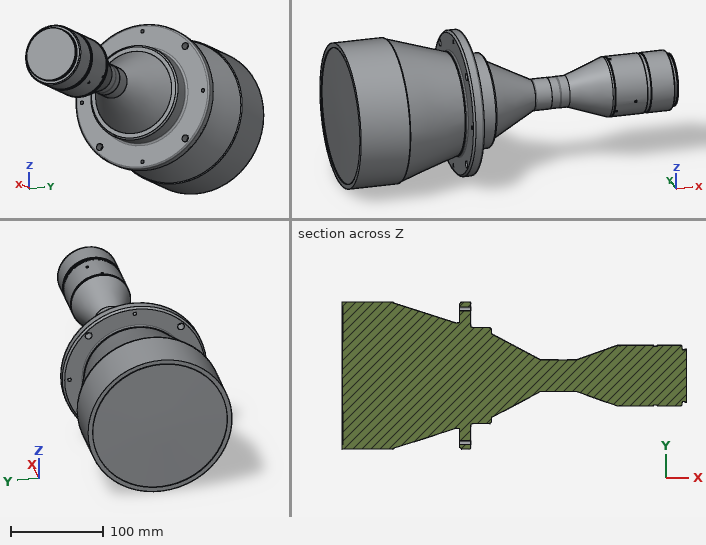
import cadquery as cq
import math

total_length = 372.8

barrel_radius = 79.8
barrel_end = 56.3
barrel_chamfer = 1.0
lens_radius = 74.5
lens_rim_depth = 1.0

front_cone_start_radius = 78.5
front_cone_end = 123.8
front_cone_end_radius = 57.0
collar_start = 125.0
collar_radius = 57.5
collar_fillet = 1.0

flange_start = 127.0
flange_end = 139.5
flange_radius = 160.0 / 2
flange_front_chamfer = 2.2
flange_rear_fillet = 2.0
hole_circle_radius = 72.5
holes_per_set = 4
mounting_hole_diameter = 7.5
pin_hole_diameter = 3.7

boss_end = 161.8
boss_radius = 52.2
boss_chamfer = 2.0
boss_foot_fillet = 2.2

middle_cone_start_radius = 45.5

neck_radius = 34.5 / 2
neck_chamfer_width = 1.0
neck_step = 0.2
neck_start = 215.0
waist_start = 233.7
waist_end = 243.0
neck_end = 254.0

rear_radius = 66.0 / 2
rear_cone_end = 298.0
fine_groove_start = 300.0
fine_groove_end = 301.2
fine_groove_depth = 0.5
wide_groove_start = 337.0
wide_groove_end = 340.7
wide_groove_depth = 1.0
wide_groove_chamfer = 0.7
rear_barrel_end = 368.0
rear_chamfer = 1.0

mount_radius = 29.0
mount_collar_end = 368.5
mount_groove_radius = 28.5
mount_lip_start = 371.3

screw_hole_diameter = 2.5
screw_hole_depth = 2.2
screws_per_row = 3
front_screw_row_x = 303.0
front_screw_row_angle = 94.5
rear_screw_row_x = 323.5
rear_screw_row_angle = 73.0


def make_front():
    """Half profile, as (X, radius), revolved from the lens to the end of the boss."""
    profile = (
        cq.Workplane("XY")
        .moveTo(0, 0)
        .lineTo(lens_rim_depth, lens_radius)
        .lineTo(0, lens_radius)
        .lineTo(0, barrel_radius)
        .lineTo(barrel_end - barrel_chamfer, barrel_radius)
        .lineTo(barrel_end, front_cone_start_radius)
        .lineTo(front_cone_end, front_cone_end_radius)
        .lineTo(collar_start, collar_radius)
        .lineTo(flange_start - collar_fillet, collar_radius)
        .tangentArcPoint((flange_start, collar_radius + collar_fillet), relative=False)
        .lineTo(flange_start, flange_radius - flange_front_chamfer)
        .lineTo(flange_start + flange_front_chamfer, flange_radius)
        .lineTo(flange_end - flange_rear_fillet, flange_radius)
        .tangentArcPoint((flange_end, flange_radius - flange_rear_fillet), relative=False)
        .lineTo(flange_end, boss_radius + boss_foot_fillet)
        .tangentArcPoint((flange_end + boss_foot_fillet, boss_radius), relative=False)
        .lineTo(boss_end - boss_chamfer, boss_radius)
        .lineTo(boss_end, boss_radius - boss_chamfer)
        .lineTo(boss_end, 0)
        .close()
    )
    return profile.revolve(360, (0, 0, 0), (1, 0, 0))


def make_rear():
    """Half profile, as (X, radius), revolved from the middle cone to the camera mount."""
    waist_radius = neck_radius - neck_step
    fine_groove_radius = rear_radius - fine_groove_depth
    wide_groove_radius = rear_radius - wide_groove_depth
    profile = [
        (boss_end, 0),
        (boss_end, middle_cone_start_radius),
        (neck_start, waist_radius),
        (neck_start + neck_chamfer_width, neck_radius),
        (waist_start, neck_radius),
        (waist_start, waist_radius),
        (waist_end, waist_radius),
        (waist_end + neck_chamfer_width, neck_radius),
        (neck_end, neck_radius),
        (rear_cone_end, rear_radius),
        (fine_groove_start, rear_radius),
        (fine_groove_start, fine_groove_radius),
        (fine_groove_end, fine_groove_radius),
        (fine_groove_end, rear_radius),
        (wide_groove_start, rear_radius),
        (wide_groove_start, wide_groove_radius),
        (wide_groove_end, wide_groove_radius),
        (wide_groove_end, rear_radius - wide_groove_chamfer),
        (wide_groove_end + wide_groove_chamfer, rear_radius),
        (rear_barrel_end - rear_chamfer, rear_radius),
        (rear_barrel_end, rear_radius - rear_chamfer),
        (rear_barrel_end, mount_radius),
        (mount_collar_end, mount_radius),
        (mount_collar_end, mount_groove_radius),
        (mount_lip_start, mount_groove_radius),
        (mount_lip_start, mount_radius),
        (total_length, mount_radius),
        (total_length, 0),
    ]
    return cq.Workplane("XY").polyline(profile).close().revolve(360, (0, 0, 0), (1, 0, 0))


def make_flange_holes(diameter, start_angle):
    """Evenly spaced through holes on the flange hole circle."""
    return (
        cq.Workplane("YZ", origin=(flange_start, 0, 0))
        .polarArray(hole_circle_radius, start_angle, 360, holes_per_set)
        .circle(diameter / 2)
        .extrude(flange_end - flange_start)
    )


def make_screw_hole(x, angle):
    """A tool for a blind radial hole; it stands proud of the barrel. The angle runs from +Y to +Z."""
    direction = cq.Vector(0, math.cos(math.radians(angle)), math.sin(math.radians(angle)))
    floor = cq.Vector(x, 0, 0) + direction * (rear_radius - screw_hole_depth)
    return cq.Solid.makeCylinder(screw_hole_diameter / 2, 2 * screw_hole_depth, floor, direction)


def cut_screw_row(body, x, first_angle):
    """Cut one ring of evenly spaced set screw holes."""
    for i in range(screws_per_row):
        body = body.cut(make_screw_hole(x, first_angle + i * 360 / screws_per_row))
    return body


result = make_front().union(make_rear())
result = result.cut(make_flange_holes(mounting_hole_diameter, 45))
result = result.cut(make_flange_holes(pin_hole_diameter, 0))
result = cut_screw_row(result, front_screw_row_x, front_screw_row_angle)
result = cut_screw_row(result, rear_screw_row_x, rear_screw_row_angle)